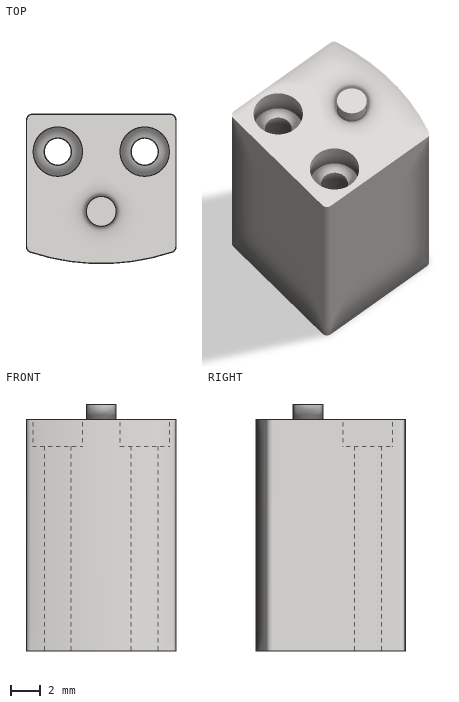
import cadquery as cq
import math

width = 10.0
depth = 10.0
total_height = 16.5
pin_height = 1.0
block_height = total_height - pin_height

front_radius = 15.0
corner_radius = 0.4

hole_diameter = 1.8
counterbore_diameter = 3.3
counterbore_depth = 1.8
hole_spacing = 5.8
hole_from_back = 2.5

pin_diameter = 2.0
pin_from_front = 3.5

half_width = width / 2
back_y = depth / 2
front_y = -depth / 2


def make_block():
    """Upright block with a bowed front, rounded edges and two counterbored holes."""
    bow_depth = front_radius - math.sqrt(front_radius**2 - half_width**2)
    side_end_y = front_y + bow_depth
    block = (
        cq.Workplane("XY")
        .moveTo(-half_width, back_y)
        .lineTo(-half_width, side_end_y)
        .threePointArc((0, front_y), (half_width, side_end_y))
        .lineTo(half_width, back_y)
        .close()
        .extrude(block_height)
        .edges("|Z")
        .fillet(corner_radius)
    )
    hole_y = back_y - hole_from_back
    hole_places = [(side * hole_spacing / 2, hole_y) for side in (-1, 1)]
    return (
        block.faces(">Z")
        .workplane(origin=(0, 0, block_height))
        .pushPoints(hole_places)
        .cboreHole(hole_diameter, counterbore_diameter, counterbore_depth)
    )


def make_pin():
    """Round pin that rests on the top face of the block."""
    return (
        cq.Workplane("XY", origin=(0, front_y + pin_from_front, block_height))
        .circle(pin_diameter / 2)
        .extrude(pin_height)
    )


block = make_block()
pin = make_pin()

result = cq.Compound.makeCompound([block.val(), pin.val()])